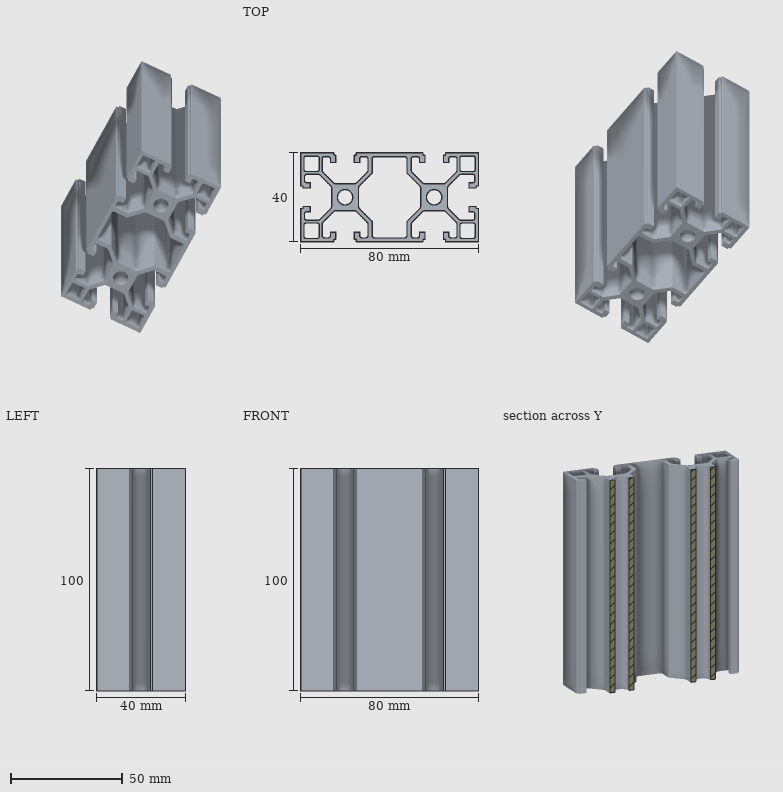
import cadquery as cq
import math

module = 40.0
width = 2 * module
depth = module
length = 100.0
half_module = module / 2

outer_wall = 1.8
core_half = 6.1
bore_diameter = 6.8
web_offset = 1.32

mouth_half = 5.0
mouth_depth = 1.1
throat_half = 4.1
lip_inner_half = 6.6
lip_depth = 4.4
slot_half = 10.25
mouth_rounding = 0.25
lip_pocket_fillet = 0.9
slot_shoulder_fillet = 1.2
slot_floor_fillet = 1.5

cell_outer_wall = 1.6
cell_inner_wall = 1.4
cell_size = half_module - slot_half - cell_inner_wall - cell_outer_wall
cell_fillet = 0.7

chamber_half = 7.8
chamber_fillet = 1.0
chamber_core_fillet = 2.0

edge_search = 0.05

core_centres = [(-half_module, 0), (half_module, 0)]


def prism(points):
    """Full-length prism on a closed outline."""
    return cq.Workplane("XY").polyline(points).close().extrude(length)


def fillet_at(body, points, radius):
    """Round the upright edges that pass through the given outline points."""
    for x, y in points:
        probe = cq.selectors.BoxSelector(
            (x - edge_search, y - edge_search, 0), (x + edge_search, y + edge_search, length)
        )
        body = body.edges("|Z").edges(probe).fillet(radius)
    return body


def make_slot():
    """Void of one T-slot opening toward +Y, with the core centre at the origin."""
    right_side = [
        (mouth_half, half_module),
        (mouth_half, half_module - mouth_depth),
        (throat_half, half_module - mouth_depth),
        (throat_half, half_module - lip_depth),
        (lip_inner_half, half_module - lip_depth),
        (lip_inner_half, half_module - outer_wall),
        (slot_half, half_module - outer_wall),
        (slot_half, slot_half + web_offset),
        (core_half - web_offset, core_half),
    ]
    left_side = [(-x, y) for x, y in reversed(right_side)]
    slot = prism(right_side + left_side)

    pocket_top = half_module - outer_wall
    pocket_corners = [
        (side * x, pocket_top) for side in (-1, 1) for x in (lip_inner_half, slot_half)
    ]
    shoulders = [(side * slot_half, slot_half + web_offset) for side in (-1, 1)]
    floor_corners = [(side * (core_half - web_offset), core_half) for side in (-1, 1)]
    slot = fillet_at(slot, pocket_corners, lip_pocket_fillet)
    slot = fillet_at(slot, shoulders, slot_shoulder_fillet)
    return fillet_at(slot, floor_corners, slot_floor_fillet)


def slot_placements():
    """Core centre and opening angle, from +Y, of each of the six slots."""
    return [
        (centre, angle)
        for centre, outward_angle in zip(core_centres, (90, -90))
        for angle in (0, 180, outward_angle)
    ]


def turned(point, angle):
    """Point turned about the origin by an angle in degrees."""
    cos = math.cos(math.radians(angle))
    sin = math.sin(math.radians(angle))
    return (point[0] * cos - point[1] * sin, point[0] * sin + point[1] * cos)


def round_lips(bar):
    """Round the three edges of the step in every slot mouth."""
    step_edges = [
        (mouth_half, half_module),
        (mouth_half, half_module - mouth_depth),
        (throat_half, half_module - mouth_depth),
    ]
    for (centre_x, centre_y), angle in slot_placements():
        for side in (-1, 1):
            turned_edges = [turned((side * x, y), angle) for x, y in step_edges]
            corners = [(centre_x + x, centre_y + y) for x, y in turned_edges]
            bar = fillet_at(bar, corners, mouth_rounding)
    return bar


def make_chamber():
    """Void between the cores: a wide bay that tapers along the webs to each core."""
    core_face = half_module - core_half
    top = half_module - outer_wall
    web_corner = half_module - chamber_half - web_offset
    upper_right = [
        (core_face, core_half - web_offset),
        (chamber_half, web_corner),
        (chamber_half, top),
    ]
    upper_left = [(-x, y) for x, y in reversed(upper_right)]
    upper = upper_right + upper_left
    lower = [(x, -y) for x, y in reversed(upper)]
    chamber = prism(upper + lower)
    corners = [(sx * chamber_half, sy * top) for sx in (-1, 1) for sy in (-1, 1)]
    core_corners = [
        (sx * core_face, sy * (core_half - web_offset)) for sx in (-1, 1) for sy in (-1, 1)
    ]
    chamber = fillet_at(chamber, corners, chamber_fillet)
    return fillet_at(chamber, core_corners, chamber_core_fillet)


def make_cells():
    """Voids of the four hollow corners."""
    x = width / 2 - cell_outer_wall - cell_size / 2
    y = depth / 2 - cell_outer_wall - cell_size / 2
    centres = [(sx * x, sy * y) for sx in (-1, 1) for sy in (-1, 1)]
    cells = cq.Workplane("XY").pushPoints(centres).rect(cell_size, cell_size).extrude(length)
    return cells.edges("|Z").fillet(cell_fillet)


def make_bores():
    """Round bores along the two cores."""
    return cq.Workplane("XY").pushPoints(core_centres).circle(bore_diameter / 2).extrude(length)


def make_profile():
    """Solid bar with every void cut through its length."""
    bar = cq.Workplane("XY").rect(width, depth).extrude(length)
    slot = make_slot()
    for (x, y), angle in slot_placements():
        bar = bar.cut(slot.rotate((0, 0, 0), (0, 0, 1), angle).translate((x, y, 0)))
    bar = round_lips(bar)
    return bar.cut(make_chamber()).cut(make_cells()).cut(make_bores())


result = make_profile()